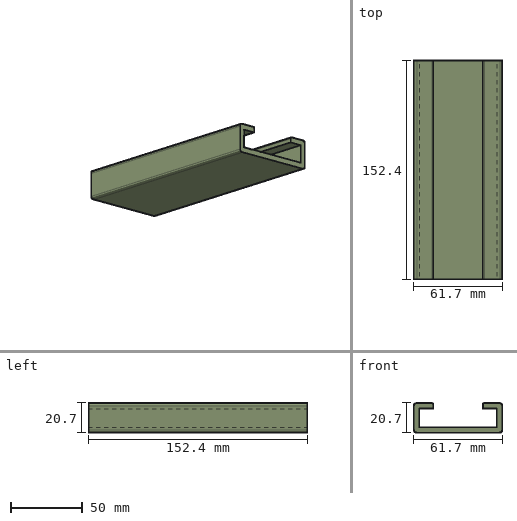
import cadquery as cq

width = 61.7
length = 152.4
height = 20.7

wall = 4.0
slot_width = 34.5
corner_radius = 2.0
lip_radius = 1.0

bar = cq.Workplane("XY").box(width, length, height).edges("|Y").fillet(corner_radius)

channel = cq.Workplane("XY").box(width - 2 * wall, length, height - 2 * wall)

slot = cq.Workplane("XY").box(slot_width, length, height / 2, centered=(True, True, False))

rail = bar.cut(channel).cut(slot)

lip_edges = cq.selectors.BoxSelector(
    (-slot_width / 2 - lip_radius, -length, height / 2 - lip_radius),
    (slot_width / 2 + lip_radius, length, height / 2 + lip_radius),
)
result = rail.edges("|Y").edges(lip_edges).fillet(lip_radius)